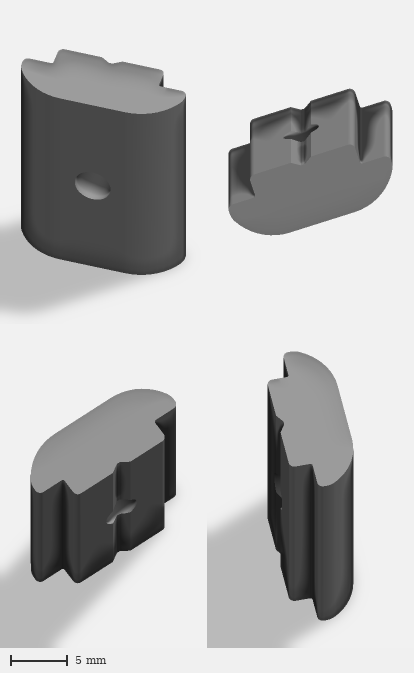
import cadquery as cq
import math

length = 20.0
width = 15.0
depth = 6.0

face_width = 6.0
flank_radius = 4.95
side_radius = 1.6
flange_corner_radius = 0.5
neck_width = 9.72
neck_height = 2.0
neck_corner_radius = 0.5
neck_root_radius = 0.2

groove_width = 1.88
groove_floor_width = 0.32
groove_depth = 0.5

hole_diameter = 3.3

half_width = width / 2
half_face = face_width / 2
half_neck = neck_width / 2
face_y = -depth / 2
neck_top_y = depth / 2
shoulder_y = neck_top_y - neck_height

flank_center = (half_face, face_y + flank_radius)
side_center_x = half_width - side_radius
joint_angle = math.asin((side_center_x - half_face) / (flank_radius - side_radius))
side_center_y = flank_center[1] - (flank_radius - side_radius) * math.cos(joint_angle)
side_center = (side_center_x, side_center_y)


def arc_point(center, radius, angle):
    """Point on an arc, with the angle measured from -Y towards +X."""
    return (center[0] + radius * math.sin(angle), center[1] - radius * math.cos(angle))


def mirrored(point):
    return (-point[0], point[1])


joint = arc_point(flank_center, flank_radius, joint_angle)
flank_middle = arc_point(flank_center, flank_radius, joint_angle / 2)
side_middle = arc_point(side_center, side_radius, (joint_angle + math.pi / 2) / 2)
side_end = (half_width, side_center_y)


def make_body():
    profile = (
        cq.Workplane("XY")
        .moveTo(-half_face, face_y)
        .lineTo(half_face, face_y)
        .threePointArc(flank_middle, joint)
        .threePointArc(side_middle, side_end)
        .lineTo(half_width, shoulder_y)
        .lineTo(half_neck, shoulder_y)
        .lineTo(half_neck, neck_top_y)
        .lineTo(-half_neck, neck_top_y)
        .lineTo(-half_neck, shoulder_y)
        .lineTo(-half_width, shoulder_y)
        .lineTo(*mirrored(side_end))
        .threePointArc(mirrored(side_middle), mirrored(joint))
        .threePointArc(mirrored(flank_middle), (-half_face, face_y))
        .close()
    )
    return profile.extrude(length)


def round_edges(body, x, y, radius):
    """Round the lengthwise edges at (x, y) and (-x, y)."""
    for edge_x in (x, -x):
        nearest = cq.selectors.NearestToPointSelector((edge_x, y, length / 2))
        body = body.edges(nearest).fillet(radius)
    return body


def make_groove():
    return (
        cq.Workplane("XY")
        .moveTo(-groove_width / 2, neck_top_y)
        .lineTo(-groove_floor_width / 2, neck_top_y - groove_depth)
        .lineTo(groove_floor_width / 2, neck_top_y - groove_depth)
        .lineTo(groove_width / 2, neck_top_y)
        .close()
        .extrude(length)
    )


def make_hole():
    """Cylinder through the full depth at mid length."""
    return (
        cq.Workplane("XZ", origin=(0, neck_top_y, length / 2))
        .circle(hole_diameter / 2)
        .extrude(depth)
    )


body = make_body()
body = round_edges(body, half_width, shoulder_y, flange_corner_radius)
body = round_edges(body, half_neck, shoulder_y, neck_root_radius)
body = round_edges(body, half_neck, neck_top_y, neck_corner_radius)
result = body.cut(make_groove()).cut(make_hole())